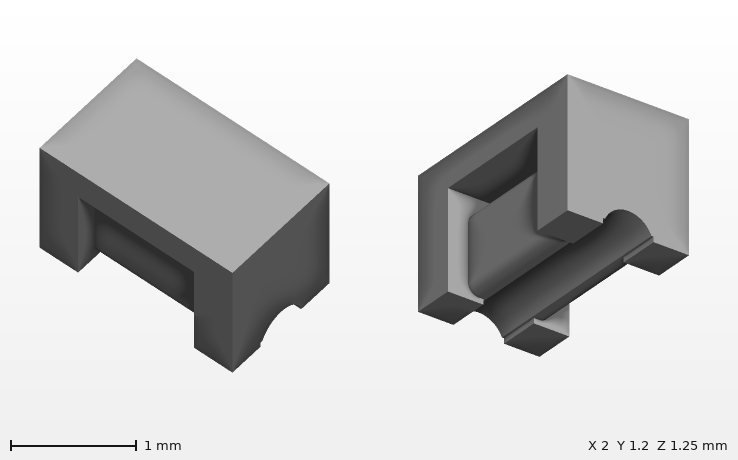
import cadquery as cq

length = 2.0
width = 1.2
height = 1.25
pad_thickness = 0.05

leg_length = 0.4
bridge_thickness = 0.3
window_length = length - 2 * leg_length
window_top = height - bridge_thickness

winding_recess = 0.2
winding_width = width - 2 * winding_recess
winding_bottom = pad_thickness
winding_height = 0.75
winding_radius = 0.1

groove_radius = 0.25
groove_top = 0.2
groove_axis_z = groove_top - groove_radius
pad_gap = 2 * groove_radius


def block(size_x, size_y, bottom, top):
    """Box centred on the Z axis, spanning bottom to top."""
    return cq.Workplane("XY").workplane(offset=bottom).rect(size_x, size_y).extrude(top - bottom)


def make_core():
    """Bridge and legs, open below and through both sides between the legs."""
    core = block(length, width, pad_thickness, height)
    return core.cut(block(window_length, width, pad_thickness, window_top))


def make_winding():
    """Bar with rounded long edges, reaching from leg to leg."""
    bar = block(window_length, winding_width, winding_bottom, winding_bottom + winding_height)
    return bar.edges("|X").fillet(winding_radius)


def make_groove():
    """Round groove cutter running the full length."""
    return (
        cq.Workplane("YZ")
        .workplane(offset=-length / 2)
        .center(0, groove_axis_z)
        .circle(groove_radius)
        .extrude(length)
    )


def make_pads():
    """Terminal pads under the legs, split by a straight gap along X."""
    pads = block(length, width, 0, pad_thickness)
    pads = pads.cut(block(window_length, width, 0, pad_thickness))
    return pads.cut(block(length, pad_gap, 0, pad_thickness))


grooved_body = make_core().union(make_winding()).cut(make_groove())
result = grooved_body.union(make_pads(), clean=False)